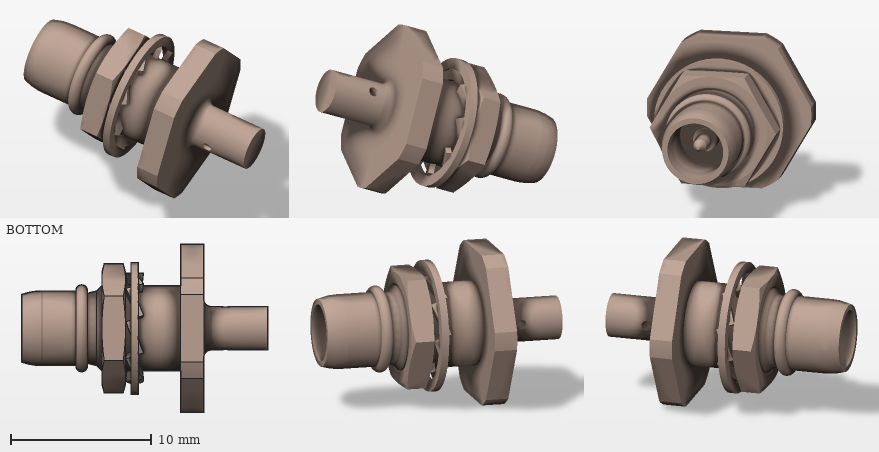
import cadquery as cq
import math


total_length = 17.55
shell_radius = 2.67
shell_lip_radius = 2.42
nose_length = 1.44
bore_radius = 2.04
bore_depth = 4.28

ring_center_x = 4.28
ring_section_radius = 0.42
ring_outer_radius = 3.1
groove_radius = 2.51

neck_start_x = ring_center_x + ring_section_radius
barrel_radius = 3.04
shoulder_start_radius = 2.67
barrel_start_x = 5.72
shoulder_start_x = barrel_start_x - (barrel_radius - shoulder_start_radius)

pin_radius = 0.47
pin_tip_radius = 0.12
pin_tip_x = 0.88
pin_cone_length = 0.65
boss_radius = 0.869
boss_chamfer = 0.044
boss_height = 1.05

flange_start_x = 11.34
flange_thickness = 1.65
flange_end_x = flange_start_x + flange_thickness
flange_across_flats = 11.0
flange_corner_radius = 6.0

tail_radius = 1.56
tail_fillet = 0.51
tail_hole_x = 14.53
tail_hole_radius = 0.35

nut_start_x = barrel_start_x
nut_thickness = 1.68
nut_end_x = nut_start_x + nut_thickness
nut_across_flats = 7.99
nut_chamfer_angle = 15.0
nut_countersink_radius = 3.21
nut_countersink_depth = 0.1

washer_start_x = 7.8
washer_thickness = 0.53
washer_middle_x = washer_start_x + washer_thickness / 2
washer_outer_radius = 4.7
washer_bore_radius = 3.93
tooth_inner_radius = 3.2
tooth_count = 9
tooth_pitch = 360 / tooth_count
tooth_twist = 21.0
tooth_thickness = 0.39
tooth_half_angle = 18.6


def hexagon_prism(start_x, thickness, across_flats):
    """Hexagon bar along X with two of its flats facing up and down."""
    across_corners = across_flats / math.cos(math.radians(30))
    return cq.Workplane("YZ", origin=(start_x, 0, 0)).polygon(6, across_corners).extrude(thickness)


def x_cylinder(start_x, length, radius):
    return cq.Workplane("YZ", origin=(start_x, 0, 0)).circle(radius).extrude(length)


def revolve_about_x(profile):
    return profile.close().revolve(360, (0, 0, 0), (1, 0, 0))


def turned_body():
    """Shell, neck, barrel and tail turned from one profile, with the contact inside the bore."""
    nose_drop = shell_radius - shell_lip_radius
    nose_arc_radius = (nose_length**2 + nose_drop**2) / (2 * nose_drop)
    nose_middle_x = nose_length / 2
    nose_middle_drop = nose_arc_radius - math.sqrt(nose_arc_radius**2 - nose_middle_x**2)
    fillet_reach = tail_fillet * (1 - math.sqrt(0.5))
    boss_face_x = bore_depth - boss_height
    profile = (
        cq.Workplane("XY")
        .moveTo(pin_tip_x, 0)
        .lineTo(pin_tip_x, pin_tip_radius)
        .lineTo(pin_tip_x + pin_cone_length, pin_radius)
        .lineTo(boss_face_x, pin_radius)
        .lineTo(boss_face_x, boss_radius - boss_chamfer)
        .lineTo(boss_face_x + boss_chamfer, boss_radius)
        .lineTo(bore_depth, boss_radius)
        .lineTo(bore_depth, bore_radius)
        .lineTo(0, bore_radius)
        .lineTo(0, shell_lip_radius)
        .threePointArc((nose_middle_x, shell_radius - nose_middle_drop), (nose_length, shell_radius))
        .lineTo(ring_center_x, shell_radius)
        .lineTo(ring_center_x, groove_radius)
        .lineTo(neck_start_x, groove_radius)
        .lineTo(shoulder_start_x, shoulder_start_radius)
        .lineTo(barrel_start_x, barrel_radius)
        .lineTo(flange_end_x, barrel_radius)
        .lineTo(flange_end_x, tail_radius + tail_fillet)
        .threePointArc(
            (flange_end_x + fillet_reach, tail_radius + fillet_reach),
            (flange_end_x + tail_fillet, tail_radius),
        )
        .lineTo(total_length, tail_radius)
        .lineTo(total_length, 0)
    )
    return revolve_about_x(profile)


def sealing_ring():
    ring_middle_radius = ring_outer_radius - ring_section_radius
    section = cq.Workplane("XY").center(ring_center_x, ring_middle_radius).circle(ring_section_radius)
    return section.revolve(360, (0, -ring_middle_radius, 0), (1, -ring_middle_radius, 0))


def flange():
    corner_trim = x_cylinder(flange_start_x, flange_thickness, flange_corner_radius)
    return hexagon_prism(flange_start_x, flange_thickness, flange_across_flats).intersect(corner_trim)


def tail_hole():
    drill = cq.Workplane("XZ").center(tail_hole_x, 0).circle(tail_hole_radius)
    return drill.extrude(2 * tail_radius, both=True)


def nut():
    """Hexagon nut with chamfered corners and a countersink at its front."""
    flat_radius = nut_across_flats / 2
    corner_radius = flat_radius / math.cos(math.radians(30))
    chamfer_depth = (corner_radius - flat_radius) * math.tan(math.radians(nut_chamfer_angle))
    corner_trim = revolve_about_x(
        cq.Workplane("XY")
        .moveTo(nut_start_x, 0)
        .lineTo(nut_start_x, flat_radius)
        .lineTo(nut_start_x + chamfer_depth, corner_radius)
        .lineTo(nut_end_x - chamfer_depth, corner_radius)
        .lineTo(nut_end_x, flat_radius)
        .lineTo(nut_end_x, 0)
    )
    countersink = revolve_about_x(
        cq.Workplane("XY")
        .moveTo(nut_start_x, 0)
        .lineTo(nut_start_x, nut_countersink_radius)
        .lineTo(nut_start_x + nut_countersink_depth, barrel_radius)
        .lineTo(nut_start_x + nut_countersink_depth, 0)
    )
    blank = hexagon_prism(nut_start_x, nut_thickness, nut_across_flats)
    return blank.intersect(corner_trim).cut(countersink)


def washer_tooth(angle):
    """Wedge twisted about its radial centre line."""
    half_width = washer_outer_radius * math.tan(math.radians(tooth_half_angle))
    wedge = (
        cq.Workplane("YZ", origin=(-tooth_thickness / 2, 0, 0))
        .polyline([(0, 0), (washer_outer_radius, half_width), (washer_outer_radius, -half_width)])
        .close()
        .extrude(tooth_thickness)
        .rotate((0, 0, 0), (0, 1, 0), tooth_twist)
        .translate((washer_middle_x, 0, 0))
        .rotate((0, 0, 0), (1, 0, 0), angle)
    )
    band_length = 4 * washer_thickness
    band_start_x = washer_middle_x - band_length / 2
    band = x_cylinder(band_start_x, band_length, washer_bore_radius)
    return wedge.intersect(band.cut(x_cylinder(band_start_x, band_length, tooth_inner_radius)))


def lock_washer():
    """Flat ring with a tooth gap facing the -Y side."""
    washer = x_cylinder(washer_start_x, washer_thickness, washer_outer_radius)
    washer = washer.cut(x_cylinder(washer_start_x, washer_thickness, washer_bore_radius))
    first_tooth_angle = 180 + tooth_pitch / 2
    for index in range(tooth_count):
        washer = washer.union(washer_tooth(first_tooth_angle + index * tooth_pitch))
    return washer


connector = turned_body().union(sealing_ring()).union(flange()).union(nut()).cut(tail_hole())
washer = lock_washer()

result = cq.Compound.makeCompound([connector.solids().val(), washer.solids().val()])